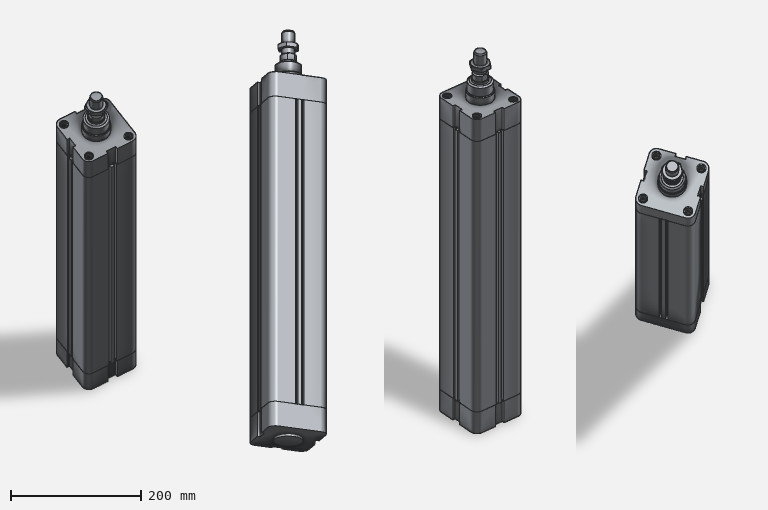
import cadquery as cq
import math

total_length = 668.0
cap_length = 40.0
bottom_boss_height = 4.0
cap_top = 582.5
barrel_bottom = bottom_boss_height + cap_length
barrel_top = cap_top - cap_length

profile_width = 95.5
half_width = profile_width / 2
corner_radius = 12.0

recess_width = 17.0
recess_depth = 5.0

groove_width = 4.0
groove_depth = 6.0
rib_width = 6.0
groove_offset = (rib_width + groove_width) / 2

screw_offset = 36.0
screw_mouth_diameter = 14.0
screw_hole_diameter = 10.0
screw_mouth_depth = 1.5
screw_hole_depth = 20.0
drill_point_angle = 118.0

boss_diameter = 45.0
boss_top = 597.0
neck_diameter = 41.0
neck_top = 614.5
neck_chamfer_height = 2.0
neck_chamfer_width = 3.5
boss_chamfer = 1.5
lip_diameter = 27.0
lip_top = 618.5

rod_diameter = 25.0
rod_shoulder = 630.5
rod_shoulder_chamfer = 2.0
flats_bottom = lip_top
flats_width = 22.0
thread_diameter = 20.0
thread_chamfer_height = 3.0
thread_chamfer_width = 1.5

nut_flats = 30.0
nut_bottom = 639.0
nut_height = 7.5
nut_chamfer_height = 1.5
nut_corner_diameter = nut_flats / math.cos(math.pi / 6)


def cylinder(diameter, bottom, top):
    return cq.Workplane("XY").workplane(offset=bottom).circle(diameter / 2).extrude(top - bottom)


def square_block(bottom, top):
    block = (
        cq.Workplane("XY")
        .workplane(offset=bottom)
        .rect(profile_width, profile_width)
        .extrude(top - bottom)
    )
    return block.edges("|Z").fillet(corner_radius)


def side_slot(width, depth, shift, side_angle, bottom, top):
    """Cutter for a slot in the side at side_angle, counted from the -Y side."""
    slot = (
        cq.Workplane("XY")
        .workplane(offset=bottom)
        .center(shift, -half_width)
        .rect(width, 2 * depth)
        .extrude(top - bottom)
    )
    return slot.rotate((0, 0, 0), (0, 0, 1), side_angle)


def screw_hole_cutter():
    """Counterbored blind hole with a drill point, its mouth at the origin and running down."""
    mouth_radius = screw_mouth_diameter / 2
    hole_radius = screw_hole_diameter / 2
    point_length = hole_radius / math.tan(math.radians(drill_point_angle / 2))
    return (
        cq.Workplane("XZ")
        .polyline([
            (0, 0),
            (mouth_radius, 0),
            (mouth_radius, -screw_mouth_depth),
            (hole_radius, -screw_mouth_depth),
            (hole_radius, -screw_hole_depth),
            (0, -screw_hole_depth - point_length),
        ])
        .close()
        .revolve(360, (0, 0, 0), (0, 1, 0))
    )


def cap_block(bottom, top):
    block = square_block(bottom, top)
    for side_angle in (-90, 0, 90):
        block = block.cut(side_slot(recess_width, recess_depth, 0, side_angle, bottom, top))
    return block


def make_top_cap():
    cap = cap_block(barrel_top, cap_top)
    cap = cap.union(cylinder(boss_diameter, cap_top, boss_top).faces(">Z").chamfer(boss_chamfer))
    neck = cylinder(neck_diameter, boss_top, neck_top)
    cap = cap.union(neck.faces(">Z").chamfer(neck_chamfer_height, neck_chamfer_width))
    for x in (-screw_offset, screw_offset):
        for y in (-screw_offset, screw_offset):
            cap = cap.cut(screw_hole_cutter().translate((x, y, cap_top)))
    cap = cap.union(cylinder(lip_diameter, neck_top, lip_top))
    return cap.cut(cylinder(rod_diameter, barrel_top, lip_top))


def make_bottom_cap():
    cap = cap_block(bottom_boss_height, barrel_bottom)
    return cap.union(cylinder(boss_diameter, 0, bottom_boss_height))


def make_barrel():
    barrel = square_block(barrel_bottom, barrel_top)
    for side_angle in (-90, 0, 90, 180):
        for shift in (-groove_offset, groove_offset):
            groove = side_slot(groove_width, groove_depth, shift, side_angle, barrel_bottom, barrel_top)
            barrel = barrel.cut(groove)
    return barrel


def make_rod():
    shoulder_width = (rod_diameter - thread_diameter) / 2
    rod = cylinder(rod_diameter, barrel_top, rod_shoulder)
    rod = rod.faces(">Z").chamfer(rod_shoulder_chamfer, shoulder_width)
    flats = (
        cq.Workplane("XY")
        .workplane(offset=flats_bottom)
        .rect(2 * rod_diameter, flats_width)
        .extrude(rod_shoulder - flats_bottom)
    )
    flatted_stretch = rod.intersect(flats)
    rod = rod.intersect(cylinder(rod_diameter, barrel_top, flats_bottom)).union(flatted_stretch)
    thread = cylinder(thread_diameter, rod_shoulder, total_length)
    thread = thread.faces(">Z").chamfer(thread_chamfer_height, thread_chamfer_width)
    return rod.union(thread)


def make_nut():
    nut = (
        cq.Workplane("XY")
        .workplane(offset=nut_bottom)
        .polygon(6, nut_corner_diameter)
        .extrude(nut_height)
    )
    nut_top = nut_bottom + nut_height
    chamfer_width = (nut_corner_diameter - nut_flats) / 2
    chamfered_blank = (
        cylinder(nut_corner_diameter, nut_bottom, nut_top)
        .faces(">Z")
        .chamfer(nut_chamfer_height, chamfer_width)
    )
    nut = nut.intersect(chamfered_blank)
    return nut.cut(cylinder(thread_diameter, nut_bottom, nut_top))


top_cap = make_top_cap()
bottom_cap = make_bottom_cap()
barrel = make_barrel()
rod = make_rod()
nut = make_nut()

result = cq.Compound.makeCompound([top_cap.val(), bottom_cap.val(), barrel.val(), rod.val(), nut.val()])